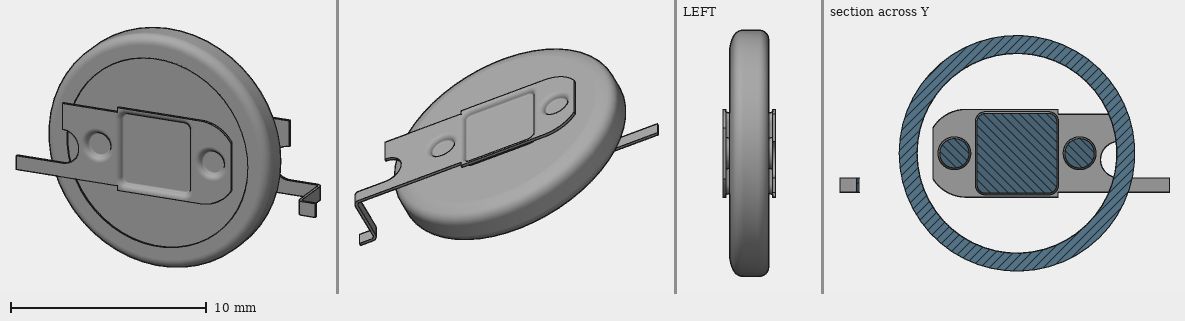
import cadquery as cq
import math


cell_radius = 6.3
cell_height = 2.0
rim_fillet = 0.5
back_crown = 0.2
crown_radius = 6.0
back_face_radius = 5.35
recess_radius = 5.1
recess_depth = 0.1
front_y = -cell_height / 2
back_y = cell_height / 2
crown_y = back_y - back_crown

sheet = 0.15
tab_gap = 0.2
tab_y = front_y - tab_gap - sheet
plate_half_height = 2.25
plate_end = 4.3
end_radius = 2.0
end_arc_start = 2.6
plate_step = 2.1
arm_half_height = 2.0
lead_top = -1.25
notch_top = 0.6
notch_radius = (notch_top - lead_top) / 2
front_arm_reach = 5.2
back_arm_reach = 6.4
front_lead_reach = 7.8

leg_x = 8.2
foot_end = 9.05
bend_inner = 0.15
bend_outer = bend_inner + sheet
back_lead_reach = leg_x - 2 * bend_outer

dimple_depth = tab_gap + recess_depth
mouth_radius = 0.3
floor_radius = 0.1
boss_flare = 0.06
wall_angle = math.acos(1 - dimple_depth / (mouth_radius + floor_radius))
spot_rim = 0.93
spot_offset = 3.2
pad_core = 1.6
pad_corner_rim = 0.62


def cavity_section(rim):
    """Half section of the hollow side: two tangent arcs from the plate face down to the floor."""
    floor_y = tab_y + dimple_depth
    half_angle = wall_angle / 2
    floor_edge = rim - (mouth_radius + floor_radius) * math.sin(wall_angle)
    joint = (rim - mouth_radius * math.sin(wall_angle), tab_y + mouth_radius * (1 - math.cos(wall_angle)))
    mouth_mid = (rim - mouth_radius * math.sin(half_angle), tab_y + mouth_radius * (1 - math.cos(half_angle)))
    return (
        cq.Workplane("XY")
        .moveTo(0, tab_y)
        .lineTo(rim, tab_y)
        .threePointArc(mouth_mid, joint)
        .tangentArcPoint((floor_edge, floor_y), relative=False)
        .lineTo(0, floor_y)
        .close()
    )


def boss_section(rim):
    """Half section of the raised side: a rounded bottom edge and a wall that flares into the plate."""
    wall = rim - sheet
    base_y = tab_y + sheet
    top_y = base_y + dimple_depth
    return (
        cq.Workplane("XY")
        .moveTo(0, top_y)
        .lineTo(wall - recess_depth, top_y)
        .tangentArcPoint((wall, base_y + tab_gap), relative=False)
        .tangentArcPoint((wall + boss_flare, base_y), relative=False)
        .lineTo(0, base_y)
        .close()
    )


def turned(section):
    """Round form about the Y axis."""
    return section.revolve(360, (0, 0, 0), (0, 1, 0))


def rounded_square(make_section, start_y):
    """Square form whose sides and corners all follow the same section."""
    corner = turned(make_section(pad_corner_rim)).translate((pad_core, 0, pad_core))
    side = make_section(pad_corner_rim).extrude(pad_core, both=True).translate((pad_core, 0, 0))
    core_size = 2 * pad_core
    form = cq.Workplane("XY").box(core_size, dimple_depth, core_size)
    form = form.translate((0, start_y + dimple_depth / 2, 0))
    for quarter in range(4):
        turn = 90 * quarter
        form = form.union(side.rotate((0, 0, 0), (0, 1, 0), turn))
        form = form.union(corner.rotate((0, 0, 0), (0, 1, 0), turn))
    return form


def make_plate(arm_reach, lead_reach):
    """Flat blank in front of the cell with its lead towards -X."""
    arc_center_z = plate_half_height - end_radius
    end_angle = math.acos((plate_end - end_arc_start) / end_radius)
    end_half_height = arc_center_z + end_radius * math.sin(end_angle)
    return (
        cq.Workplane("XZ", origin=(0, tab_y, 0))
        .moveTo(-lead_reach, lead_top)
        .lineTo(-arm_reach, lead_top)
        .threePointArc((notch_radius - arm_reach, lead_top + notch_radius), (-arm_reach, notch_top))
        .lineTo(-arm_reach, arm_half_height)
        .lineTo(-plate_step, arm_half_height)
        .lineTo(-plate_step, plate_half_height)
        .lineTo(end_arc_start, plate_half_height)
        .tangentArcPoint((plate_end, end_half_height), relative=False)
        .lineTo(plate_end, -end_half_height)
        .radiusArc((end_arc_start, -plate_half_height), end_radius)
        .lineTo(-plate_step, -plate_half_height)
        .lineTo(-plate_step, -arm_half_height)
        .lineTo(-lead_reach, -arm_half_height)
        .close()
        .extrude(-sheet)
    )


def make_tab(arm_reach, lead_reach):
    """Plate with two round spots and a square pad pressed towards the cell."""
    tab = make_plate(arm_reach, lead_reach)
    for x in (-spot_offset, spot_offset):
        tab = tab.union(turned(boss_section(spot_rim)).translate((x, 0, 0)))
        tab = tab.cut(turned(cavity_section(spot_rim)).translate((x, 0, 0)))
    tab = tab.union(rounded_square(boss_section, tab_y + sheet))
    return tab.cut(rounded_square(cavity_section, tab_y))


def make_bent_lead():
    """Leg and foot that bring the back tab's lead round to the front tab's plane."""
    outer_back_y = -tab_y
    inner_back_y = outer_back_y - sheet
    foot_back_y = tab_y + sheet
    leg_inner_x = leg_x - sheet
    lead_height = lead_top + arm_half_height
    lead_mid_z = (lead_top - arm_half_height) / 2
    lead = (
        cq.Workplane("XY", origin=(0, 0, -arm_half_height))
        .moveTo(back_lead_reach, outer_back_y)
        .lineTo(leg_x, outer_back_y)
        .lineTo(leg_x, foot_back_y)
        .lineTo(foot_end, foot_back_y)
        .lineTo(foot_end, tab_y)
        .lineTo(leg_inner_x, tab_y)
        .lineTo(leg_inner_x, inner_back_y)
        .lineTo(back_lead_reach, inner_back_y)
        .close()
        .extrude(lead_height)
    )
    bends = (
        (leg_x, outer_back_y, bend_outer),
        (leg_inner_x, inner_back_y, bend_inner),
        (leg_inner_x, tab_y, bend_outer),
        (leg_x, foot_back_y, bend_inner),
    )
    for x, y, radius in bends:
        corner = cq.selectors.NearestToPointSelector((x, y, lead_mid_z))
        lead = lead.edges(corner).fillet(radius)
    return lead


def make_cell():
    """Round cell with a filleted front rim, a domed back rim and a shallow front recess."""
    return (
        cq.Workplane("XY")
        .moveTo(0, front_y + recess_depth)
        .lineTo(recess_radius, front_y + recess_depth)
        .lineTo(recess_radius, front_y)
        .lineTo(cell_radius - rim_fillet, front_y)
        .tangentArcPoint((cell_radius, front_y + rim_fillet), relative=False)
        .lineTo(cell_radius, crown_y - rim_fillet)
        .tangentArcPoint((crown_radius, crown_y), relative=False)
        .tangentArcPoint((back_face_radius, back_y), relative=False)
        .lineTo(0, back_y)
        .close()
        .revolve(360, (0, 0, 0), (0, 1, 0))
    )


front_tab = make_tab(front_arm_reach, front_lead_reach)

back_tab = make_tab(back_arm_reach, back_lead_reach).rotate((0, 0, 0), (0, 0, 1), 180)
cell = make_cell().union(back_tab.union(make_bent_lead()))

result = cq.Compound.makeCompound([cell.solids().val(), front_tab.solids().val()])